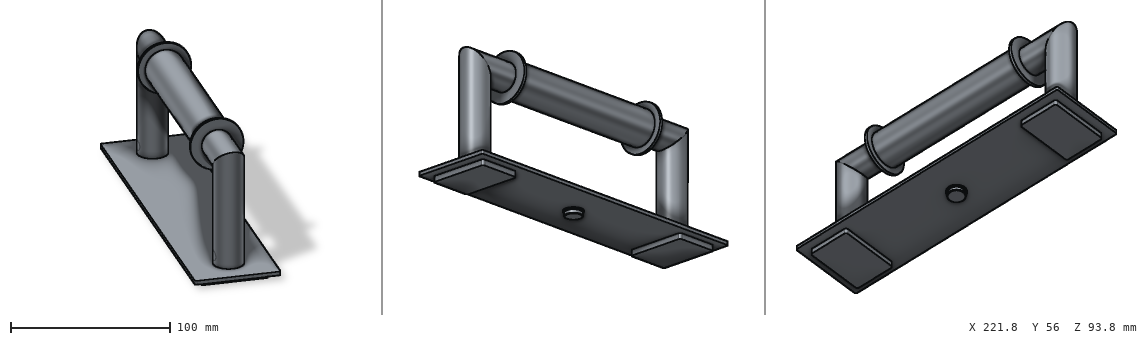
import cadquery as cq

plate_length = 221.8
plate_width = 56.0
total_height = 93.8

plate_thickness = 2.7
plate_corner_radius = 1.0
pad_length = 30.2
pad_width = 43.5
pad_height = 4.0
pad_corner_radius = 1.5

stud_diameter = 12.0
stud_collar_diameter = 13.3
stud_collar_height = 1.3
stud_collar_bevel = 0.7
stud_tip_chamfer = 0.5

tube_diameter = 20.0
post_spacing = 177.9

grip_diameter = 25.5
flange_diameter = 34.5
flange_thickness = 2.0
flange_span = 124.5

screw_diameter = 6.9
screw_height = 6.5

tube_radius = tube_diameter / 2
plate_top = pad_height + plate_thickness
axis_height = total_height - flange_diameter / 2
tube_top = axis_height + tube_radius
post_positions = [(-post_spacing / 2, 0), (post_spacing / 2, 0)]
outer_span = post_spacing + tube_diameter


def x_cylinder(diameter, start, end):
    """Cylinder on the grip axis, from X = start to X = end."""
    return (
        cq.Workplane("YZ", origin=(start, 0, axis_height))
        .circle(diameter / 2)
        .extrude(end - start)
    )


def rounded_block(length, width, height, corner_radius, bottom):
    """Block centred on the origin in X and Y with rounded vertical edges."""
    return (
        cq.Workplane("XY", origin=(0, 0, bottom))
        .rect(length, width)
        .extrude(height)
        .edges("|Z")
        .fillet(corner_radius)
    )


def stud():
    """Turned stud with a bevelled collar at the plate, chamfered at its tip."""
    stud_radius = stud_diameter / 2
    collar_radius = stud_collar_diameter / 2
    return (
        cq.Workplane("XZ")
        .lineTo(stud_radius - stud_tip_chamfer, 0)
        .lineTo(stud_radius, stud_tip_chamfer)
        .lineTo(stud_radius, pad_height - stud_collar_height)
        .lineTo(collar_radius, pad_height - stud_collar_height + stud_collar_bevel)
        .lineTo(collar_radius, pad_height)
        .lineTo(0, pad_height)
        .close()
        .revolve(360, (0, 0), (0, 1))
    )


def base():
    """Plate with a pad below each post and a stud in the middle."""
    body = rounded_block(plate_length, plate_width, plate_thickness, plate_corner_radius, pad_height)
    pad = rounded_block(pad_length, pad_width, pad_height, pad_corner_radius, 0)
    for x, y in post_positions:
        body = body.union(pad.translate((x, y, 0)))
    return body.union(stud())


def tube():
    """Two posts and a crossbar, joined by mitred corners."""
    posts = (
        cq.Workplane("XY", origin=(0, 0, plate_top))
        .pushPoints(post_positions)
        .circle(tube_radius)
        .extrude(tube_top - plate_top)
    )
    crossbar = x_cylinder(tube_diameter, -outer_span / 2, outer_span / 2)

    def mitre_wedge(side):
        outer_x = side * outer_span / 2
        inner_x = side * (outer_span / 2 - tube_diameter)
        return (
            cq.Workplane("XZ")
            .moveTo(outer_x, tube_top)
            .lineTo(inner_x, tube_top - tube_diameter)
            .lineTo(inner_x, plate_top)
            .lineTo(outer_x, plate_top)
            .close()
            .extrude(tube_radius, both=True)
        )

    post_side = mitre_wedge(-1).union(mitre_wedge(1))
    return posts.intersect(post_side).union(crossbar.cut(post_side))


def grip():
    """Thick sleeve on the crossbar with a flange at each end."""
    half_span = flange_span / 2
    return (
        x_cylinder(grip_diameter, -half_span, half_span)
        .union(x_cylinder(flange_diameter, -half_span, flange_thickness - half_span))
        .union(x_cylinder(flange_diameter, half_span - flange_thickness, half_span))
    )


def set_screws(body):
    """Screws reaching the post axis, their heads shaped flush with the post surface."""
    screw_bores = (
        cq.Workplane("XZ", origin=(0, 0, plate_top + screw_height))
        .pushPoints(post_positions)
        .circle(screw_diameter / 2)
        .extrude(tube_radius)
    )
    screws = body.intersect(screw_bores)
    return body.cut(screw_bores).union(screws, clean=False)


result = set_screws(base().union(tube()).union(grip()))